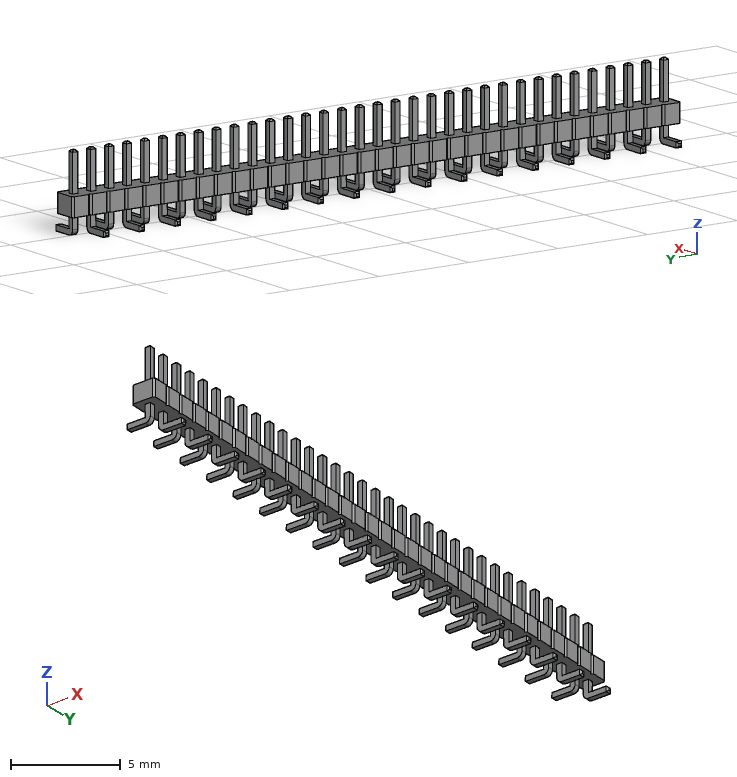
import cadquery as cq

length = 34.0
pin_count = 34
pitch = length / pin_count
height = 4.0
foot_span = 2.5

body_width = 1.3
body_bottom = 1.0
body_height = 1.0
segment_chamfer = 0.1

pin_width = 0.3
tip_chamfer = 0.085
bend_radius = pin_width


def make_segment():
    """One body segment, its vertical edges chamfered to leave V-notches between neighbours."""
    segment = cq.Workplane("XY").box(body_width, pitch, body_height, centered=(True, True, False))
    return segment.edges("|Z").chamfer(segment_chamfer).translate((0, 0, body_bottom))


def make_pin():
    """An upright square pin whose foot bends toward -X, tapered at both ends."""
    half = pin_width / 2
    foot_reach = foot_span / 2
    blank = (
        cq.Workplane("XZ")
        .moveTo(-foot_reach, 0)
        .lineTo(half - bend_radius, 0)
        .radiusArc((half, bend_radius), -bend_radius)
        .lineTo(half, height)
        .lineTo(-half, height)
        .lineTo(-half, pin_width)
        .lineTo(-foot_reach, pin_width)
        .close()
        .extrude(half, both=True)
    )
    return blank.faces(">Z or <X").chamfer(tip_chamfer)


segment = make_segment()
left_pin = make_pin()
right_pin = left_pin.rotate((0, 0, 0), (0, 0, 1), 180)

units = []
for index in range(pin_count):
    pin = left_pin if index % 2 == 0 else right_pin
    y = (index + 0.5) * pitch - length / 2
    units.append(segment.union(pin).translate((0, y, 0)).val())

result = cq.Workplane("XY").newObject([units[0].fuse(*units[1:])]).clean()